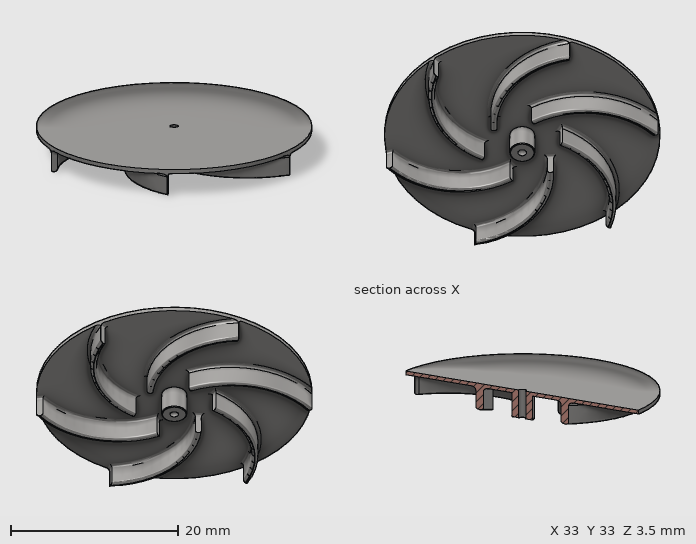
import cadquery as cq
import math

disc_radius = 16.5
disc_thickness = 0.53

hub_diameter = 3.0
hub_bottom = -3.5
hub_chamfer = 0.1
bore_diameter = 1.0

vane_count = 6
vane_bottom = -3.3
vane_outer_radius = 11.7
vane_thickness = 0.73
vane_center_x = -3.53
vane_center_y = -8.2
root_angle = 90.5
tip_outer_angle = 172.5
tip_inner_angle = 170.7
bottom_round = 0.33
root_fillet = 0.4

plate_radius = disc_radius + 4 * root_fillet


def vane_point(radius, angle):
    """Point at a polar position about the vane's arc center."""
    direction = math.radians(angle)
    return (
        vane_center_x + radius * math.cos(direction),
        vane_center_y + radius * math.sin(direction),
    )


def make_vane():
    """Curved vane with a flat slanted tip and rounded lower side edges."""
    outer = vane_outer_radius
    inner = outer - vane_thickness
    return (
        cq.Workplane("XY")
        .workplane(offset=-disc_thickness)
        .moveTo(*vane_point(outer, root_angle))
        .threePointArc(
            vane_point(outer, (root_angle + tip_outer_angle) / 2),
            vane_point(outer, tip_outer_angle),
        )
        .lineTo(*vane_point(inner, tip_inner_angle))
        .threePointArc(
            vane_point(inner, (root_angle + tip_inner_angle) / 2),
            vane_point(inner, root_angle),
        )
        .close()
        .extrude(vane_bottom + disc_thickness)
        .faces("<Z")
        .edges("%CIRCLE")
        .fillet(bottom_round)
    )


def make_vaned_disc():
    """Disc with its ring of vanes, filleted where they meet."""
    body = cq.Workplane("XY").circle(plate_radius).extrude(-disc_thickness)
    vane = make_vane()
    for index in range(vane_count):
        angle = index * 360 / vane_count
        body = body.union(vane.rotate((0, 0, 0), (0, 0, 1), angle))

    underside = body.faces("<Z[-2]").val()
    joint_edges = [edge for wire in underside.innerWires() for edge in wire.Edges()]
    body = body.newObject(joint_edges).fillet(root_fillet)
    envelope = cq.Workplane("XY").circle(disc_radius).extrude(hub_bottom)
    return body.intersect(envelope)


hub = (
    cq.Workplane("XY")
    .circle(hub_diameter / 2)
    .extrude(hub_bottom)
    .faces("<Z")
    .chamfer(hub_chamfer)
)
bore = cq.Workplane("XY").circle(bore_diameter / 2).extrude(hub_bottom)
result = make_vaned_disc().union(hub).cut(bore)